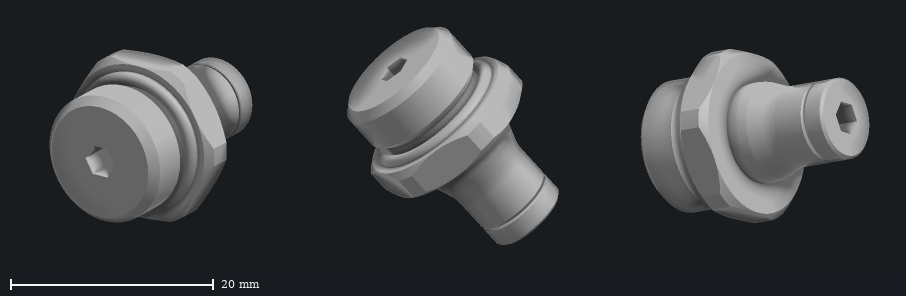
import cadquery as cq
import math

length = 21.0

thread_radius = 6.6
neck_radius = 5.75
thread_chamfer = thread_radius - neck_radius
thread_end = 4.35
neck_start = thread_end + thread_chamfer

across_flats = 16.0
corner_radius = 8.746
hex_front = 6.49
hex_back = 10.0
hex_chamfer = 0.65

ring_outer_radius = 7.25
ring_section = (ring_outer_radius - neck_radius) / 2
ring_radius = neck_radius + ring_section

shoulder_radius = 4.98
stem_radius = 4.05
shoulder_end = 11.17
slope_start = 12.28
slope_end = 13.9
stem_start = 15.05
slope_angle = math.radians(18.5)

tip_chamfer = 0.27
groove_start = 18.52
groove_end = 18.77
groove_radius = 3.5
groove_chamfer = 0.13

key_across_flats = 3.0


def circumscribed_diameter(flats):
    """Corner-to-corner size of a regular hexagon."""
    return flats / math.cos(math.radians(30))


def hex_prism(flats, start, end):
    """Hexagonal bar along Y, with two flats facing up and down."""
    plane = cq.Workplane("XZ", origin=(0, end, 0))
    return plane.polygon(6, circumscribed_diameter(flats)).extrude(end - start)


def revolve_about_y(profile):
    return profile.close().revolve(360, (0, 0, 0), (0, 1, 0))


def threaded_end():
    profile = (
        cq.Workplane("XY")
        .lineTo(thread_radius - thread_chamfer, 0)
        .lineTo(thread_radius, thread_chamfer)
        .lineTo(thread_radius, thread_end)
        .lineTo(neck_radius, neck_start)
        .lineTo(neck_radius, hex_back)
        .lineTo(0, hex_back)
    )
    return revolve_about_y(profile)


def collar():
    """Hexagon with its corners turned down and chamfered to the inscribed circle."""
    face_radius = across_flats / 2
    profile = (
        cq.Workplane("XY")
        .moveTo(0, hex_front)
        .lineTo(face_radius, hex_front)
        .lineTo(corner_radius, hex_front + hex_chamfer)
        .lineTo(corner_radius, hex_back - hex_chamfer)
        .lineTo(face_radius, hex_back)
        .lineTo(0, hex_back)
    )
    return hex_prism(across_flats, hex_front, hex_back).intersect(revolve_about_y(profile))


def sealing_ring():
    section = cq.Workplane("XY").center(ring_radius, hex_front).circle(ring_section)
    return section.revolve(360, (-ring_radius, 0, 0), (-ring_radius, 1, 0))


def stem():
    """Shoulder, two tangent arcs joined by a slope, and the grooved tube end."""
    half_angle_tangent = math.tan(slope_angle / 2)
    slope_start_radius = shoulder_radius - (slope_start - shoulder_end) * half_angle_tangent
    slope_end_radius = stem_radius + (stem_start - slope_end) * half_angle_tangent
    lip_radius = stem_radius - groove_chamfer
    profile = (
        cq.Workplane("XY")
        .moveTo(0, hex_front)
        .lineTo(shoulder_radius, hex_front)
        .lineTo(shoulder_radius, shoulder_end)
        .tangentArcPoint((slope_start_radius, slope_start), relative=False)
        .lineTo(slope_end_radius, slope_end)
        .tangentArcPoint((stem_radius, stem_start), relative=False)
        .lineTo(stem_radius, groove_start - groove_chamfer)
        .lineTo(lip_radius, groove_start)
        .lineTo(groove_radius, groove_start)
        .lineTo(groove_radius, groove_end)
        .lineTo(lip_radius, groove_end)
        .lineTo(stem_radius, groove_end + groove_chamfer)
        .lineTo(stem_radius, length - tip_chamfer)
        .lineTo(stem_radius - tip_chamfer, length)
        .lineTo(0, length)
    )
    return revolve_about_y(profile)


body = threaded_end().union(collar()).union(sealing_ring()).union(stem())
result = body.cut(hex_prism(key_across_flats, 0, length))